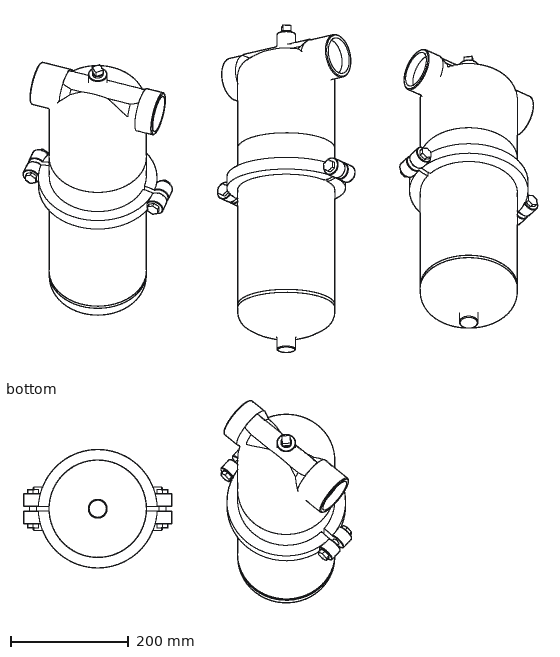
import cadquery as cq
import math

SHELL_RADIUS = 165 / 2
WELD_RADIUS = 165.8 / 2
CAP_RADIUS = 165.2 / 2
HEAD_RADIUS = 165.2 / 2
HEAD_BASE_Z = 361.3
HEAD_TOP_Z = 490.3
WELD_TOP_Z = 80.5
WELD_BOTTOM_Z = 75.2
CAP_BOTTOM_Z = 68.3

CROWN_RADIUS = 122
KNUCKLE_RADIUS = 26

PORT_RADIUS = 74 / 2
PORT_AXIS_Z = 506
PORT_END_X = 109.5
PORT_CHAMFER = 1.5
PORT_BORE_RADIUS = 61.2 / 2
PORT_BORE_DEPTH = 15
TUBE_RADIUS = 30.5
CONE_LENGTH = 15
INLET_SLEEVE_X = -57
OUTLET_SLEEVE_X = 79.4
PORT_BLEND = 2

RIB_WIDTH = 34
RIB_EDGE_RADIUS = 7.5

NOZZLE_RADIUS = 32 / 2
BOSS_TOP_Z = 566
BOSS_BLEND = 2.5
BOSS_CHAMFER = 1
PLUG_NECK_RADIUS = 9
PLUG_NECK_TOP_Z = 570
PLUG_TOP_Z = 580
PLUG_SQUARE = 14
DRAIN_BLEND = 3.5
DRAIN_CHAMFER = 1.5

CLAMP_Z = 300.5
CLAMP_RADIUS = 201.61 / 2
CLAMP_FACE_RADIUS = 88.5
CLAMP_HALF_HEIGHT = 13.5
CLAMP_RIM_HALF_HEIGHT = 10.5
SPLIT_GAP = 7.6
LUG_RADIUS = 15
LUG_LENGTH = 22
LUG_CHAMFER = 1
LUG_X = 251.75 / 2 - LUG_RADIUS
BOLT_RADIUS = 12 / 2
BOLT_X = LUG_X - 1
BOLT_HEAD_FLATS = 18
BOLT_HEAD_HEIGHT = 6.5

LUG_INNER_Y = SPLIT_GAP / 2
LUG_OUTER_Y = LUG_INNER_Y + LUG_LENGTH
BOLT_END_Y = LUG_OUTER_Y + BOLT_HEAD_HEIGHT


def dish_points(base_radius, base_z, direction):
    """Knuckle middle, knuckle end, crown middle and apex of a dished end in the XZ plane."""
    knuckle_x = base_radius - KNUCKLE_RADIUS
    centre_drop = math.sqrt((CROWN_RADIUS - KNUCKLE_RADIUS) ** 2 - knuckle_x ** 2)
    joint_angle = math.atan2(centre_drop, knuckle_x)
    crown_angle = (joint_angle + math.pi / 2) / 2

    def on_knuckle(angle):
        height = KNUCKLE_RADIUS * math.sin(angle)
        return (knuckle_x + KNUCKLE_RADIUS * math.cos(angle), base_z + direction * height)

    def on_crown(angle):
        height = CROWN_RADIUS * math.sin(angle) - centre_drop
        return (CROWN_RADIUS * math.cos(angle), base_z + direction * height)

    apex = (0, base_z + direction * (CROWN_RADIUS - centre_drop))
    return on_knuckle(joint_angle / 2), on_knuckle(joint_angle), on_crown(crown_angle), apex


def make_shell():
    """Closed shell with a dished end at the bottom and at the top."""
    top_knuckle, top_joint, top_crown, top_apex = dish_points(HEAD_RADIUS, HEAD_TOP_Z, 1)
    low_knuckle, low_joint, low_crown, low_apex = dish_points(CAP_RADIUS, CAP_BOTTOM_Z, -1)
    return (
        cq.Workplane("XZ")
        .moveTo(*low_apex)
        .threePointArc(low_crown, low_joint)
        .threePointArc(low_knuckle, (CAP_RADIUS, CAP_BOTTOM_Z))
        .lineTo(CAP_RADIUS, WELD_BOTTOM_Z)
        .lineTo(WELD_RADIUS, WELD_BOTTOM_Z)
        .lineTo(WELD_RADIUS, WELD_TOP_Z)
        .lineTo(SHELL_RADIUS, WELD_TOP_Z)
        .lineTo(SHELL_RADIUS, HEAD_BASE_Z)
        .lineTo(HEAD_RADIUS, HEAD_BASE_Z)
        .lineTo(HEAD_RADIUS, HEAD_TOP_Z)
        .threePointArc(top_knuckle, top_joint)
        .threePointArc(top_crown, top_apex)
        .close()
        .revolve(360, (0, 0, 0), (0, 1, 0))
    )


def make_ports():
    """Inlet and outlet sleeves, each coned down to the tube that joins them."""
    half_profile = [
        (-PORT_END_X, 0),
        (-PORT_END_X, PORT_RADIUS - PORT_CHAMFER),
        (-PORT_END_X + PORT_CHAMFER, PORT_RADIUS),
        (INLET_SLEEVE_X, PORT_RADIUS),
        (INLET_SLEEVE_X + CONE_LENGTH, TUBE_RADIUS),
        (OUTLET_SLEEVE_X - CONE_LENGTH, TUBE_RADIUS),
        (OUTLET_SLEEVE_X, PORT_RADIUS),
        (PORT_END_X - PORT_CHAMFER, PORT_RADIUS),
        (PORT_END_X, PORT_RADIUS - PORT_CHAMFER),
        (PORT_END_X, 0),
    ]
    ports = cq.Workplane("XZ").polyline(half_profile).close().revolve(360, (0, 0, 0), (1, 0, 0))
    return ports.translate((0, 0, PORT_AXIS_Z))


def blend_ports(shell, ports):
    """Join the ports to the shell with a fillet along the outer stretches of the seam."""
    joined = shell.union(ports)
    seam = joined.edges("not (%CIRCLE or %LINE)")
    outer_seam = seam.filter(lambda edge: abs(edge.Center().x) > -INLET_SLEEVE_X)
    return outer_seam.fillet(PORT_BLEND)


def make_rib():
    """Bar with rounded top edges, level with the top of the ports."""
    length = OUTLET_SLEEVE_X - INLET_SLEEVE_X
    middle_x = (OUTLET_SLEEVE_X + INLET_SLEEVE_X) / 2
    return (
        cq.Workplane("XY", origin=(middle_x, 0, PORT_AXIS_Z))
        .rect(length, RIB_WIDTH)
        .extrude(PORT_RADIUS)
        .edges("|X and >Z")
        .fillet(RIB_EDGE_RADIUS)
    )


def make_vent():
    """Vent boss closed by a square-headed plug."""
    boss = (
        cq.Workplane("XY", origin=(0, 0, PORT_AXIS_Z))
        .circle(NOZZLE_RADIUS)
        .extrude(BOSS_TOP_Z - PORT_AXIS_Z)
        .faces(">Z")
        .chamfer(BOSS_CHAMFER)
    )
    neck = (
        cq.Workplane("XY", origin=(0, 0, BOSS_TOP_Z))
        .circle(PLUG_NECK_RADIUS)
        .extrude(PLUG_NECK_TOP_Z - BOSS_TOP_Z)
    )
    square = (
        cq.Workplane("XY", origin=(0, 0, PLUG_NECK_TOP_Z))
        .transformed(rotate=(0, 0, 45))
        .rect(PLUG_SQUARE, PLUG_SQUARE)
        .extrude(PLUG_TOP_Z - PLUG_NECK_TOP_Z)
    )
    return boss.union(neck).union(square)


def blend_vent(body, vent):
    """Join the vent boss to the rib with a fillet around its foot."""
    foot_box = cq.selectors.BoxSelector(
        (-NOZZLE_RADIUS - 1, -NOZZLE_RADIUS - 1, PORT_AXIS_Z + TUBE_RADIUS - 1),
        (NOZZLE_RADIUS + 1, NOZZLE_RADIUS + 1, PORT_AXIS_Z + PORT_RADIUS + 1),
        boundingbox=True,
    )
    return body.union(vent).edges(foot_box).fillet(BOSS_BLEND)


def make_drain():
    """Drain nozzle below the bottom dish."""
    return (
        cq.Workplane("XY")
        .circle(NOZZLE_RADIUS)
        .extrude(CAP_BOTTOM_Z)
        .faces("<Z")
        .chamfer(DRAIN_CHAMFER)
    )


def blend_drain(body, drain):
    """Join the drain nozzle to the bottom dish with a fillet around its root."""
    root_box = cq.selectors.BoxSelector(
        (-NOZZLE_RADIUS - 1, -NOZZLE_RADIUS - 1, 2 * DRAIN_CHAMFER),
        (NOZZLE_RADIUS + 1, NOZZLE_RADIUS + 1, CAP_BOTTOM_Z),
        boundingbox=True,
    )
    return body.union(drain).edges(root_box).fillet(DRAIN_BLEND)


def make_port_bores():
    """Blind bores in the outer ends of both ports."""
    bores = cq.Workplane("YZ")
    for start_x in (-PORT_END_X, PORT_END_X - PORT_BORE_DEPTH):
        bore = (
            cq.Workplane("YZ", origin=(start_x, 0, PORT_AXIS_Z))
            .circle(PORT_BORE_RADIUS)
            .extrude(PORT_BORE_DEPTH)
        )
        bores = bores.add(bore)
    return bores.combine()


def make_vessel():
    """Shell with its ports, rib, vent and drain."""
    body = blend_ports(make_shell(), make_ports())
    body = blend_vent(body.union(make_rib()), make_vent())
    body = blend_drain(body, make_drain())
    return body.cut(make_port_bores())


def make_clamp_ring():
    """Ring fitting closely round the shell, with sloping upper and lower faces."""
    profile = [
        (SHELL_RADIUS, -CLAMP_HALF_HEIGHT),
        (CLAMP_FACE_RADIUS, -CLAMP_HALF_HEIGHT),
        (CLAMP_RADIUS, -CLAMP_RIM_HALF_HEIGHT),
        (CLAMP_RADIUS, CLAMP_RIM_HALF_HEIGHT),
        (CLAMP_FACE_RADIUS, CLAMP_HALF_HEIGHT),
        (SHELL_RADIUS, CLAMP_HALF_HEIGHT),
    ]
    ring = cq.Workplane("XZ").polyline(profile).close().revolve(360, (0, 0, 0), (0, 1, 0))
    return ring.translate((0, 0, CLAMP_Z))


def make_lug(side, start_y):
    """Round lug along Y, merging into the rim of the ring."""
    return (
        cq.Workplane("XZ", origin=(side * LUG_X, start_y + LUG_LENGTH, CLAMP_Z))
        .circle(LUG_RADIUS)
        .extrude(LUG_LENGTH)
        .faces("<Y or >Y")
        .chamfer(LUG_CHAMFER)
    )


def make_bolt(side):
    """Bolt through a pair of lugs, with a hexagon at each end."""
    hexagon_diameter = BOLT_HEAD_FLATS / math.cos(math.pi / 6)
    bolt = (
        cq.Workplane("XZ", origin=(side * BOLT_X, LUG_OUTER_Y, CLAMP_Z))
        .circle(BOLT_RADIUS)
        .extrude(2 * LUG_OUTER_Y)
    )
    for end_y in (BOLT_END_Y, -LUG_OUTER_Y):
        hexagon = (
            cq.Workplane("XZ", origin=(side * BOLT_X, end_y, CLAMP_Z))
            .transformed(rotate=(0, 0, 90))
            .polygon(6, hexagon_diameter)
            .extrude(BOLT_HEAD_HEIGHT)
        )
        bolt = bolt.union(hexagon)
    return bolt


def make_clamp():
    """Split ring whose halves are held together by a bolt on each side."""
    split = (
        cq.Workplane("XY", origin=(0, 0, CLAMP_Z))
        .box(2 * CLAMP_RADIUS, SPLIT_GAP, 2 * CLAMP_HALF_HEIGHT)
    )
    clamp = make_clamp_ring().cut(split)
    for side in (-1, 1):
        for start_y in (-LUG_OUTER_Y, LUG_INNER_Y):
            clamp = clamp.union(make_lug(side, start_y))
        clamp = clamp.union(make_bolt(side))
    return clamp


vessel = make_vessel()
clamp = make_clamp()
result = cq.Compound.makeCompound([vessel.val(), clamp.val()])